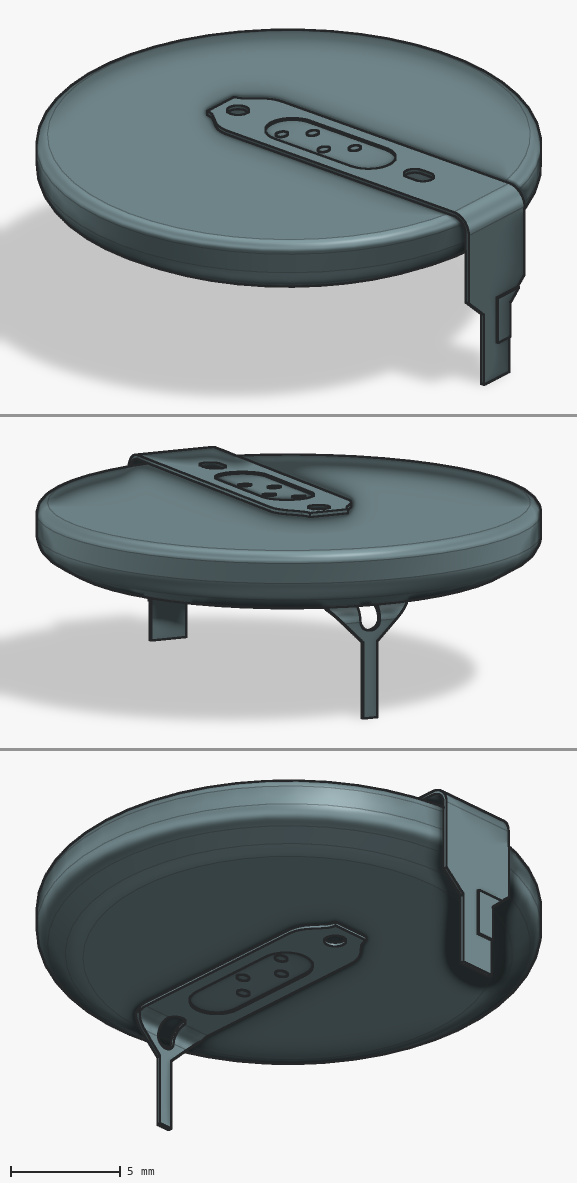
import cadquery as cq
import math


overall_length = 24.0
overall_height = 8.9

cell_diameter = 23.1
cell_radius = cell_diameter / 2
cell_height = 3.0
rim_fillet = 0.5
straight_wall = 0.94
shoulder_radius = 1.0
foot_radius = 1.6
shoulder_angle = 60.0

strip_thickness = 0.2
strip_width = 3.98
weld_gap = 0.15
bend_radius = 0.9
strip_end = -4.05
nose_width = 1.97
nose_hollow_radius = 0.77
nose_shoulder_radius = 1.54
nose_angle = 40.0
nose_length = 2.05

hole_diameter = 1.0
hole_x = -3.02
window_length = 7.0
window_width = 2.5
window_depth = 0.1
window_x = 2.47
slot_width = 1.0
slot_start = 6.98
slot_end = 8.47

weld_length = 0.65
weld_width = 0.5
weld_dimple = 0.02
weld_spacing_x = 2.5
weld_shift_x = 1.0
weld_offset_y = 0.5

tip_z = cell_height + weld_gap + strip_thickness - overall_height
taper_end_z = -2.02
upper_leg_face = 12.35
upper_leg_width = 1.8
upper_taper_start_z = -1.03
lower_leg_face = 8.25
lower_leg_width = 0.72
lower_taper_start_z = -0.43
lower_slot_end_z = -1.5

pad_top_z = -1.46
pad_bottom_z = -3.75
pad_height = overall_length - cell_radius - upper_leg_face


def make_cell():
    """Revolve the half section: filleted top rim, rounded shoulder, shallow cone, rounded foot."""
    angle = math.radians(shoulder_angle)
    half = angle / 2
    wall_bottom = cell_height - rim_fillet - straight_wall
    shoulder_r = cell_radius - shoulder_radius * (1 - math.cos(angle))
    shoulder_z = wall_bottom - shoulder_radius * math.sin(angle)
    foot_angle = (angle + math.pi / 2) / 2
    foot_z = foot_radius * (1 - math.sin(angle))
    foot_r = shoulder_r - (shoulder_z - foot_z) * math.tan(angle)
    flat_r = foot_r - foot_radius * math.cos(angle)
    shoulder_mid = (
        cell_radius - shoulder_radius * (1 - math.cos(half)),
        wall_bottom - shoulder_radius * math.sin(half),
    )
    foot_mid = (
        flat_r + foot_radius * math.cos(foot_angle),
        foot_radius * (1 - math.sin(foot_angle)),
    )
    rim_mid = (
        cell_radius - rim_fillet * (1 - math.sqrt(0.5)),
        cell_height - rim_fillet * (1 - math.sqrt(0.5)),
    )
    return (
        cq.Workplane("XZ")
        .lineTo(flat_r, 0)
        .threePointArc(foot_mid, (foot_r, foot_z))
        .lineTo(shoulder_r, shoulder_z)
        .threePointArc(shoulder_mid, (cell_radius, wall_bottom))
        .lineTo(cell_radius, cell_height - rim_fillet)
        .threePointArc(rim_mid, (cell_radius - rim_fillet, cell_height))
        .lineTo(0, cell_height)
        .close()
        .revolve(360, (0, 0, 0), (0, 1, 0))
    )


def bent_strip(top_z, leg_face):
    """Full-width strip, flat on top and bent down into a leg at +x."""
    inner_radius = bend_radius - strip_thickness
    centre_x = leg_face - bend_radius
    centre_z = top_z - bend_radius
    diagonal = math.sqrt(0.5)
    return (
        cq.Workplane("XZ", origin=(0, strip_width / 2, 0))
        .moveTo(strip_end, top_z)
        .lineTo(centre_x, top_z)
        .threePointArc(
            (centre_x + bend_radius * diagonal, centre_z + bend_radius * diagonal),
            (leg_face, centre_z),
        )
        .lineTo(leg_face, tip_z)
        .lineTo(leg_face - strip_thickness, tip_z)
        .lineTo(leg_face - strip_thickness, centre_z)
        .threePointArc(
            (centre_x + inner_radius * diagonal, centre_z + inner_radius * diagonal),
            (centre_x, top_z - strip_thickness),
        )
        .lineTo(strip_end, top_z - strip_thickness)
        .close()
        .extrude(strip_width)
    )


def plan_outline(leg_face, bottom_z, height):
    """Plan shape of the strip: a narrow nose that swells to full width through two arcs."""
    angle = math.radians(nose_angle)
    half_nose = nose_width / 2
    half_width = strip_width / 2
    hollow_end = (
        strip_end + nose_hollow_radius * math.sin(angle),
        half_nose + nose_hollow_radius * (1 - math.cos(angle)),
    )
    hollow_mid = (
        strip_end + nose_hollow_radius * math.sin(angle / 2),
        half_nose + nose_hollow_radius * (1 - math.cos(angle / 2)),
    )
    full_x = strip_end + nose_length
    shoulder_start = (
        full_x - nose_shoulder_radius * math.sin(angle),
        half_width - nose_shoulder_radius * (1 - math.cos(angle)),
    )
    shoulder_mid = (
        full_x - nose_shoulder_radius * math.sin(angle / 2),
        half_width - nose_shoulder_radius * (1 - math.cos(angle / 2)),
    )
    return (
        cq.Workplane("XY", origin=(0, 0, bottom_z))
        .moveTo(strip_end, 0)
        .lineTo(strip_end, half_nose)
        .threePointArc(hollow_mid, hollow_end)
        .lineTo(*shoulder_start)
        .threePointArc(shoulder_mid, (full_x, half_width))
        .lineTo(leg_face, half_width)
        .lineTo(leg_face, 0)
        .close()
        .extrude(height)
        .mirror("XZ", union=True)
    )


def leg_outline(start_x, length, top_z, taper_start_z, leg_width):
    """Shape of the strip seen along x: full width above, tapering to the narrow leg below."""
    half_width = strip_width / 2
    half_leg = leg_width / 2
    return (
        cq.Workplane("YZ", origin=(start_x, 0, 0))
        .polyline([
            (half_width, top_z),
            (half_width, taper_start_z),
            (half_leg, taper_end_z),
            (half_leg, tip_z),
            (-half_leg, tip_z),
            (-half_leg, taper_end_z),
            (-half_width, taper_start_z),
            (-half_width, top_z),
        ])
        .close()
        .extrude(length)
    )


def weld_points(bottom_z, height):
    """Two rows of elliptical weld points, the +y row shifted along the strip."""
    centres = []
    for column in range(2):
        x = column * weld_spacing_x
        centres.append((x, -weld_offset_y))
        centres.append((x + weld_shift_x, weld_offset_y))
    return (
        cq.Workplane("XY", origin=(0, 0, bottom_z))
        .pushPoints(centres)
        .ellipse(weld_width / 2, weld_length / 2)
        .extrude(height)
    )


def make_tab(top_z, leg_face, taper_start_z, leg_width):
    """Bent tab with its round hole; the leg points down at +x."""
    span = leg_face - strip_end
    strip = bent_strip(top_z, leg_face)
    strip = strip.intersect(plan_outline(leg_face, tip_z, top_z - tip_z))
    strip = strip.intersect(leg_outline(strip_end, span, top_z, taper_start_z, leg_width))
    hole = (
        cq.Workplane("XY", origin=(hole_x, 0, top_z - strip_thickness))
        .circle(hole_diameter / 2)
        .extrude(strip_thickness)
    )
    return strip.cut(hole)


def window(bottom_z):
    """Shallow rounded recess that holds the weld points."""
    return (
        cq.Workplane("XY", origin=(window_x, 0, bottom_z))
        .slot2D(window_length, window_width)
        .extrude(window_depth)
    )


def make_upper_tab():
    """Tab on top of the cell, with a slot before the bend and a raised pad on the leg."""
    bottom_z = cell_height + weld_gap
    top_z = bottom_z + strip_thickness
    floor_z = top_z - window_depth
    tab = make_tab(top_z, upper_leg_face, upper_taper_start_z, upper_leg_width)
    slot = (
        cq.Workplane("XY", origin=((slot_start + slot_end) / 2, 0, bottom_z))
        .slot2D(slot_end - slot_start, slot_width)
        .extrude(strip_thickness)
    )
    pad_limit = cq.Workplane("XY", origin=(upper_leg_face, 0, pad_bottom_z)).box(
        pad_height, strip_width / 2, pad_top_z - pad_bottom_z, centered=False
    )
    pad = leg_outline(
        upper_leg_face, pad_height, top_z, upper_taper_start_z, upper_leg_width
    ).intersect(pad_limit)
    welds = weld_points(cell_height, weld_gap)
    dimples = weld_points(floor_z - weld_dimple, weld_dimple)
    return tab.cut(slot).cut(window(floor_z)).cut(dimples).union(welds).union(pad)


def make_lower_tab():
    """Tab under the cell, mirrored to bend down at -x; its bend crosses the slot."""
    top_z = -weld_gap
    bottom_z = top_z - strip_thickness
    tab = make_tab(top_z, lower_leg_face, lower_taper_start_z, lower_leg_width)
    half_slot = slot_width / 2
    slot_plan = (
        cq.Workplane("XY", origin=(slot_start, 0, top_z))
        .moveTo(half_slot, half_slot)
        .threePointArc((0, 0), (half_slot, -half_slot))
        .lineTo(lower_leg_face - slot_start, -half_slot)
        .lineTo(lower_leg_face - slot_start, half_slot)
        .close()
        .extrude(lower_slot_end_z - top_z)
    )
    slot_face = (
        cq.Workplane("YZ", origin=(slot_start, 0, 0))
        .moveTo(-half_slot, top_z)
        .lineTo(half_slot, top_z)
        .lineTo(half_slot, lower_slot_end_z + half_slot)
        .threePointArc((0, lower_slot_end_z), (-half_slot, lower_slot_end_z + half_slot))
        .close()
        .extrude(lower_leg_face - slot_start)
    )
    welds = weld_points(top_z, weld_gap)
    dimples = weld_points(bottom_z + window_depth, weld_dimple)
    tab = tab.cut(slot_plan.intersect(slot_face))
    tab = tab.cut(window(bottom_z)).cut(dimples).union(welds)
    return tab.mirror("YZ")


result = make_cell().union(make_upper_tab()).union(make_lower_tab())